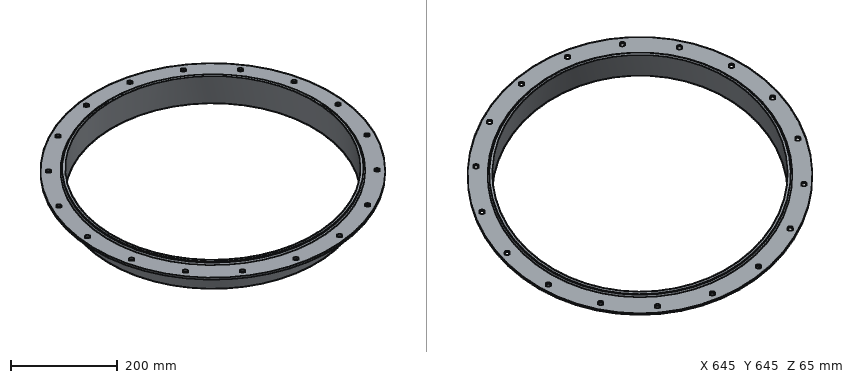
import cadquery as cq

collar_outer_diameter = 564.0
collar_inner_diameter = 552.0
collar_height = 65.0

flange_diameter = 645.0
flange_thickness = 5.0
flange_setback = 6.0
flange_top = collar_height - flange_setback

bead_width = 3.0
bead_height = 3.0

bolt_hole_count = 18
bolt_hole_diameter = 10.0
bolt_circle_diameter = 615.0
first_hole_angle = 90


def make_collar_and_flange():
    """Revolve the shared cross-section of collar, bead and flange about Z."""
    inner_radius = collar_inner_diameter / 2
    outer_radius = collar_outer_diameter / 2
    flange_radius = flange_diameter / 2
    flange_bottom = flange_top - flange_thickness
    profile = [
        (inner_radius, 0),
        (outer_radius, 0),
        (outer_radius, flange_bottom),
        (flange_radius, flange_bottom),
        (flange_radius, flange_top),
        (outer_radius + bead_width, flange_top),
        (outer_radius, flange_top + bead_height),
        (outer_radius, collar_height),
        (inner_radius, collar_height),
    ]
    return cq.Workplane("XZ").polyline(profile).close().revolve(360, (0, 0), (0, 1))


def make_bolt_holes():
    """Pins that cut the circle of bolt holes through the flange."""
    return (
        cq.Workplane("XY")
        .polarArray(bolt_circle_diameter / 2, first_hole_angle, 360, bolt_hole_count)
        .circle(bolt_hole_diameter / 2)
        .extrude(collar_height)
    )


result = make_collar_and_flange().cut(make_bolt_holes())